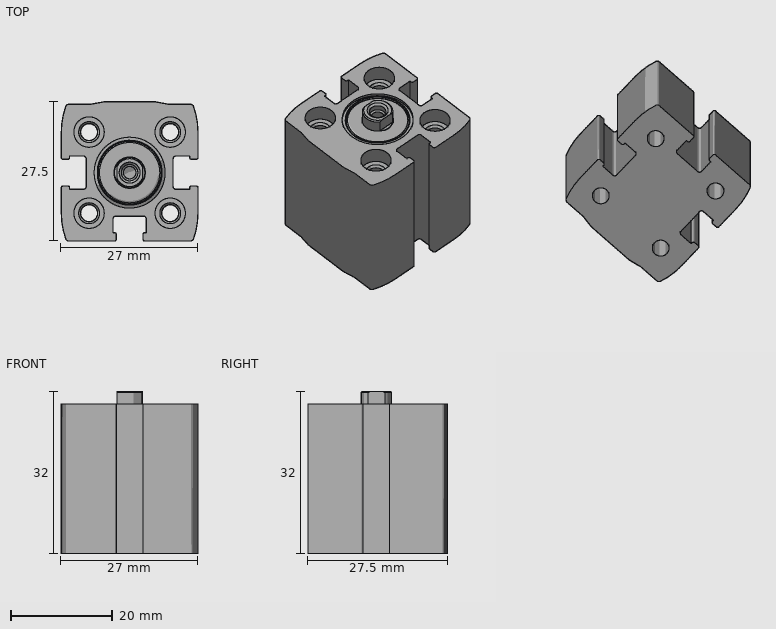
import cadquery as cq
import math

HOUSING_HEIGHT = 29.5
HALF_WIDTH = 13.5
CROWN_TOP_Y = 14.0
CROWN_HALF_FLAT = 5.0
CROWN_HALF_BASE = 7.75
SIDE_HALF_FLAT = 8.0
SIDE_CURVE_RADIUS = 15.0
CORNER_FILLET = 0.65

SLOT_DEPTH = 4.9
SLOT_WIDTH = 6.5
MOUTH_WIDTH = 5.25
LIP_THICKNESS = 1.68
LIP_FILLET = 0.35
SLOT_FLOOR_FILLET = 0.5

HOLE_SPACING = 16.0
HOLE_DIAMETER = 3.3
COUNTERBORE_DIAMETER = 6.0
COUNTERBORE_DEPTH = 3.4
THREAD_ENTRY_DIAMETER = 4.13

CAP_RADIUS = 7.0
CAP_TOP_Z = HOUSING_HEIGHT - 0.2
CAP_CHAMFER_WIDTH = 0.6
CAP_CHAMFER_DROP = 0.35
RIDGE_WIDTH = 0.1
GROOVE_RADIUS = 6.2
GROOVE_DEPTH = 0.28
DISC_EDGE_RADIUS = 5.95
DISC_EDGE_DROP = 0.08
DISC_FLAT_RADIUS = 5.65

ROD_RADIUS = 3.0
ROD_TOP_Z = 32.0
ROD_GUIDE_CLEARANCE = 0.1
ROD_LENGTH = 25.0
ROD_BOTTOM_Z = ROD_TOP_Z - ROD_LENGTH
ROD_CHAMFER = 0.25
ACROSS_FLATS = 5.0
FLAT_RUNOUT_ANGLE = 32.0
ROD_ENTRY_DIAMETER = 4.13
ROD_ENTRY_DEPTH = 0.37
ROD_BORE_DIAMETER = 3.24
ROD_BORE_DEPTH = 1.5
ROD_DRILL_DIAMETER = 2.46
ROD_DRILL_DEPTH = 8.0
DRILL_POINT_ANGLE = 118.0


def make_profile():
    """Extruded outline of the housing, with rounded vertical corners."""
    curve_rise = HALF_WIDTH - SIDE_HALF_FLAT
    curve_angle = math.asin(curve_rise / SIDE_CURVE_RADIUS)
    curve_center_x = HALF_WIDTH - SIDE_CURVE_RADIUS

    def curve_point(angle):
        x = curve_center_x + SIDE_CURVE_RADIUS * math.cos(angle)
        y = SIDE_HALF_FLAT + SIDE_CURVE_RADIUS * math.sin(angle)
        return x, y

    middle_x, middle_y = curve_point(curve_angle / 2)
    corner_x, corner_y = curve_point(curve_angle)

    block = (
        cq.Workplane("XY")
        .moveTo(-corner_x, -corner_y)
        .lineTo(corner_x, -corner_y)
        .threePointArc((middle_x, -middle_y), (HALF_WIDTH, -SIDE_HALF_FLAT))
        .lineTo(HALF_WIDTH, SIDE_HALF_FLAT)
        .threePointArc((middle_x, middle_y), (corner_x, corner_y))
        .lineTo(CROWN_HALF_BASE, HALF_WIDTH)
        .lineTo(CROWN_HALF_FLAT, CROWN_TOP_Y)
        .lineTo(-CROWN_HALF_FLAT, CROWN_TOP_Y)
        .lineTo(-CROWN_HALF_BASE, HALF_WIDTH)
        .lineTo(-corner_x, corner_y)
        .threePointArc((-middle_x, middle_y), (-HALF_WIDTH, SIDE_HALF_FLAT))
        .lineTo(-HALF_WIDTH, -SIDE_HALF_FLAT)
        .threePointArc((-middle_x, -middle_y), (-corner_x, -corner_y))
        .close()
        .extrude(HOUSING_HEIGHT)
    )
    for x in (-corner_x, corner_x):
        for y in (-corner_y, corner_y):
            corner = cq.selectors.NearestToPointSelector((x, y, HOUSING_HEIGHT / 2))
            block = block.edges("|Z").edges(corner).fillet(CORNER_FILLET)
    return block


def make_slot():
    """Cutter for one T-slot opening through the -Y face, with rounded lips."""
    floor_y = -HALF_WIDTH + SLOT_DEPTH
    lip_y = -HALF_WIDTH + LIP_THICKNESS
    half_slot = SLOT_WIDTH / 2
    half_mouth = MOUTH_WIDTH / 2
    half_flare = half_mouth + LIP_FILLET
    flare_end_y = -HALF_WIDTH + LIP_FILLET

    profile = (
        cq.Workplane("XY")
        .moveTo(-half_flare, -HALF_WIDTH)
        .lineTo(half_flare, -HALF_WIDTH)
        .radiusArc((half_mouth, flare_end_y), LIP_FILLET)
        .lineTo(half_mouth, lip_y)
        .lineTo(half_slot, lip_y)
        .lineTo(half_slot, floor_y)
        .lineTo(-half_slot, floor_y)
        .lineTo(-half_slot, lip_y)
        .lineTo(-half_mouth, lip_y)
        .lineTo(-half_mouth, flare_end_y)
        .radiusArc((-half_flare, -HALF_WIDTH), LIP_FILLET)
        .close()
    )
    slot = profile.extrude(HOUSING_HEIGHT)
    slot = slot.edges("|Z and >Y").fillet(SLOT_FLOOR_FILLET)
    for x in (-half_mouth, half_mouth):
        lip_edge = cq.selectors.NearestToPointSelector((x, lip_y, HOUSING_HEIGHT / 2))
        slot = slot.edges("|Z").edges(lip_edge).fillet(LIP_FILLET)
    return slot


def make_mounting_hole():
    """Cutter for a counterbored through hole with a countersunk thread entry."""
    bore_floor = HOUSING_HEIGHT - COUNTERBORE_DEPTH
    entry_radius = THREAD_ENTRY_DIAMETER / 2
    hole_radius = HOLE_DIAMETER / 2
    return (
        cq.Workplane("XZ")
        .moveTo(0, 0)
        .lineTo(hole_radius, 0)
        .lineTo(hole_radius, bore_floor - (entry_radius - hole_radius))
        .lineTo(entry_radius, bore_floor)
        .lineTo(COUNTERBORE_DIAMETER / 2, bore_floor)
        .lineTo(COUNTERBORE_DIAMETER / 2, HOUSING_HEIGHT)
        .lineTo(0, HOUSING_HEIGHT)
        .close()
        .revolve()
    )


def make_cap_recess():
    """Cutter that leaves the chamfered and grooved face of the bearing cap."""
    ridge_radius = CAP_RADIUS - CAP_CHAMFER_WIDTH
    return (
        cq.Workplane("XZ")
        .moveTo(0, HOUSING_HEIGHT)
        .lineTo(CAP_RADIUS, HOUSING_HEIGHT)
        .lineTo(CAP_RADIUS, CAP_TOP_Z - CAP_CHAMFER_DROP)
        .lineTo(ridge_radius, CAP_TOP_Z)
        .lineTo(ridge_radius - RIDGE_WIDTH, CAP_TOP_Z)
        .lineTo(GROOVE_RADIUS, CAP_TOP_Z - GROOVE_DEPTH)
        .lineTo(DISC_EDGE_RADIUS, CAP_TOP_Z - DISC_EDGE_DROP)
        .lineTo(DISC_FLAT_RADIUS, CAP_TOP_Z)
        .lineTo(0, CAP_TOP_Z)
        .close()
        .revolve()
    )


def make_housing():
    housing = make_profile()
    for angle in (-90, 0, 90):
        housing = housing.cut(make_slot().rotate((0, 0, 0), (0, 0, 1), angle))
    for x in (-HOLE_SPACING / 2, HOLE_SPACING / 2):
        for y in (-HOLE_SPACING / 2, HOLE_SPACING / 2):
            housing = housing.cut(make_mounting_hole().translate((x, y, 0)))
    housing = housing.cut(make_cap_recess())
    rod_guide = (
        cq.Workplane("XY", origin=(0, 0, ROD_BOTTOM_Z))
        .circle(ROD_RADIUS + ROD_GUIDE_CLEARANCE)
        .extrude(ROD_LENGTH)
    )
    return housing.cut(rod_guide)


def make_rod_thread_hole():
    """Cutter for the stepped, countersunk blind hole in the end of the rod."""
    bore_radius = ROD_BORE_DIAMETER / 2
    drill_radius = ROD_DRILL_DIAMETER / 2
    point_slope = 1 / math.tan(math.radians(DRILL_POINT_ANGLE / 2))
    shoulder_depth = (bore_radius - drill_radius) * point_slope
    point_depth = drill_radius * point_slope
    return (
        cq.Workplane("XZ")
        .moveTo(0, ROD_TOP_Z)
        .lineTo(ROD_ENTRY_DIAMETER / 2, ROD_TOP_Z)
        .lineTo(bore_radius, ROD_TOP_Z - ROD_ENTRY_DEPTH)
        .lineTo(bore_radius, ROD_TOP_Z - ROD_BORE_DEPTH)
        .lineTo(drill_radius, ROD_TOP_Z - ROD_BORE_DEPTH - shoulder_depth)
        .lineTo(drill_radius, ROD_TOP_Z - ROD_DRILL_DEPTH)
        .lineTo(0, ROD_TOP_Z - ROD_DRILL_DEPTH - point_depth)
        .close()
        .revolve()
    )


def make_flat():
    """Cutter for the wrench flat on the +X side, with a sloped run-out."""
    flat_x = ACROSS_FLATS / 2
    runout_drop = (ROD_RADIUS - flat_x) * math.tan(math.radians(FLAT_RUNOUT_ANGLE))
    return (
        cq.Workplane("XZ")
        .moveTo(flat_x, ROD_TOP_Z)
        .lineTo(flat_x, CAP_TOP_Z)
        .lineTo(ROD_RADIUS, CAP_TOP_Z - runout_drop)
        .lineTo(ROD_RADIUS, ROD_TOP_Z)
        .close()
        .extrude(ROD_RADIUS, both=True)
    )


def make_rod():
    rod = (
        cq.Workplane("XY", origin=(0, 0, ROD_BOTTOM_Z))
        .circle(ROD_RADIUS)
        .extrude(ROD_LENGTH)
        .faces(">Z")
        .chamfer(ROD_CHAMFER)
    )
    for angle in (0, 180):
        rod = rod.cut(make_flat().rotate((0, 0, 0), (0, 0, 1), angle))
    return rod.cut(make_rod_thread_hole())


housing = make_housing()
piston_rod = make_rod()

result = cq.Compound.makeCompound([housing.val(), piston_rod.val()])